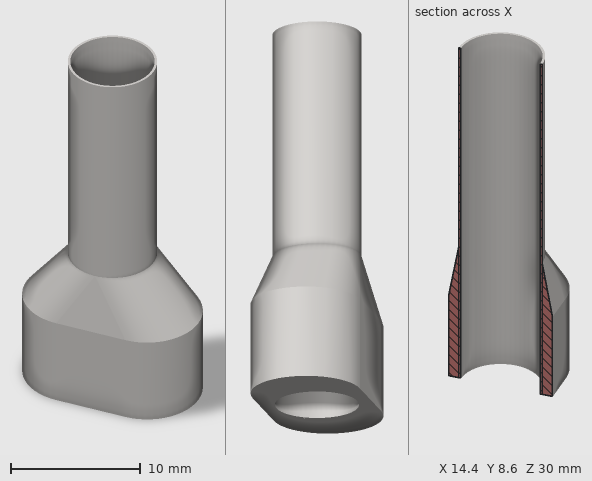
import cadquery as cq

total_height = 30.0
tube_diameter = 6.9
bore_diameter = 6.5
collar_length = 14.4
collar_width = 8.6
base_height = 7.25
shoulder_height = 4.7

tube_radius = tube_diameter / 2
end_radius = collar_width / 2
end_offset = (collar_length - collar_width) / 2
collar_height = base_height + shoulder_height


def make_tube():
    """Thin round sleeve running through the collar over the full height."""
    return (
        cq.Workplane("XY")
        .circle(tube_radius)
        .circle(bore_diameter / 2)
        .extrude(total_height)
    )


def make_shoulder_half(side):
    """Oblique half cone from one rounded end of the base to the tube; side is +1 or -1 along X."""
    lower_end = (
        cq.Workplane("XY", origin=(0, 0, base_height))
        .moveTo(side * end_offset, -end_radius)
        .threePointArc((side * (end_offset + end_radius), 0), (side * end_offset, end_radius))
        .close()
    )
    return (
        lower_end.workplane(offset=shoulder_height, origin=(0, 0, base_height))
        .moveTo(0, -tube_radius)
        .threePointArc((side * tube_radius, 0), (0, tube_radius))
        .close()
        .loft(ruled=True)
    )


def make_shoulder_middle():
    """Wedge between the half cones, with a flat triangle on the front and on the back."""
    profile = (
        cq.Workplane("YZ", origin=(-end_offset, 0, 0))
        .polyline([
            (-end_radius, base_height),
            (end_radius, base_height),
            (tube_radius, collar_height),
            (-tube_radius, collar_height),
        ])
        .close()
        .extrude(2 * end_offset)
    )
    triangle = (
        cq.Workplane("XZ", origin=(0, end_radius, 0))
        .polyline([(-end_offset, base_height), (end_offset, base_height), (0, collar_height)])
        .close()
        .extrude(collar_width)
    )
    return profile.intersect(triangle)


def make_collar():
    """Oblong base with a shoulder tapering to the tube, bored to fit the tube."""
    base = cq.Workplane("XY").slot2D(collar_length, collar_width).extrude(base_height)
    tube_hole = cq.Workplane("XY").circle(tube_radius).extrude(collar_height)
    return (
        base.union(make_shoulder_middle())
        .union(make_shoulder_half(-1))
        .union(make_shoulder_half(1))
        .cut(tube_hole)
    )


tube = make_tube()
collar = make_collar()
result = cq.Compound.makeCompound([tube.val(), *collar.vals()])